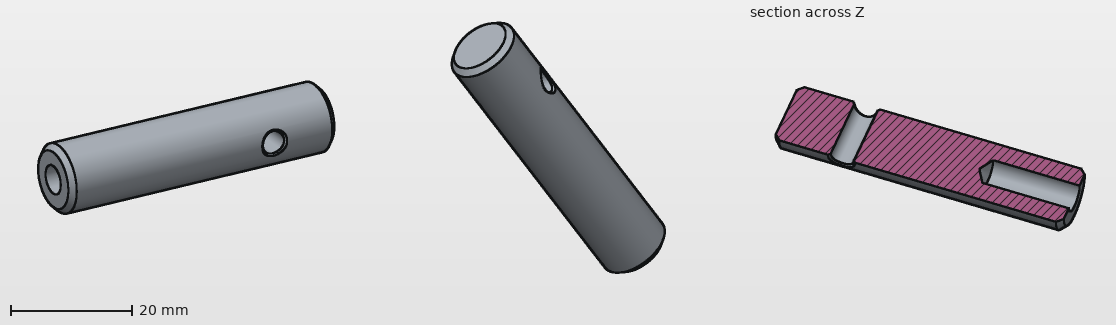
import cadquery as cq
import math

length = 50.8
diameter = 12.0
end_chamfer = 1.0

axial_hole_diameter = 5.0
axial_hole_depth = 15.25
drill_point_angle = 118.0

cross_hole_diameter = 4.0
cross_hole_from_end = 12.0
cross_hole_chamfer = 0.38

radius = diameter / 2
front_y = -length / 2
cross_hole_y = length / 2 - cross_hole_from_end


def make_pin():
    blank = cq.Workplane("XZ", origin=(0, front_y, 0)).circle(radius).extrude(-length)
    return blank.faces("<Y or >Y").chamfer(end_chamfer)


def make_axial_hole():
    hole_radius = axial_hole_diameter / 2
    shoulder_y = front_y + axial_hole_depth
    point_length = hole_radius / math.tan(math.radians(drill_point_angle / 2))
    return (
        cq.Workplane("XY")
        .moveTo(0, front_y)
        .lineTo(hole_radius, front_y)
        .lineTo(hole_radius, shoulder_y)
        .lineTo(0, shoulder_y + point_length)
        .close()
        .revolve(360, (0, 0, 0), (0, 1, 0))
    )


def add_cross_hole(pin):
    """Drill through along X and chamfer the two curved rims."""
    drill = (
        cq.Workplane("YZ", origin=(-radius, 0, 0))
        .center(cross_hole_y, 0)
        .circle(cross_hole_diameter / 2)
        .extrude(diameter)
    )
    drilled = pin.cut(drill)
    reach = cross_hole_diameter
    rims = cq.selectors.BoxSelector(
        (-diameter, cross_hole_y - reach, -reach),
        (diameter, cross_hole_y + reach, reach),
        boundingbox=True,
    )
    return drilled.edges(rims).edges("not |X").chamfer(cross_hole_chamfer)


result = add_cross_hole(make_pin()).cut(make_axial_hole())